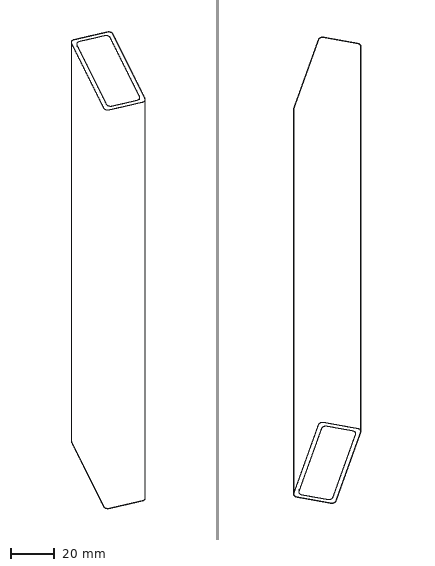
import cadquery as cq

width = 50.0
depth = 20.0
length = 250.0
wall = 2.0
corner_radius = 2.0


def rounded_bar(size_x, size_y):
    """Full-length bar with rounded vertical edges, standing on the XY plane."""
    bar = cq.Workplane("XY").rect(size_x, size_y).extrude(length)
    return bar.edges("|Z").fillet(corner_radius)


outer = rounded_bar(width, depth)
bore = rounded_bar(width - 2 * wall, depth - 2 * wall)

result = outer.cut(bore)